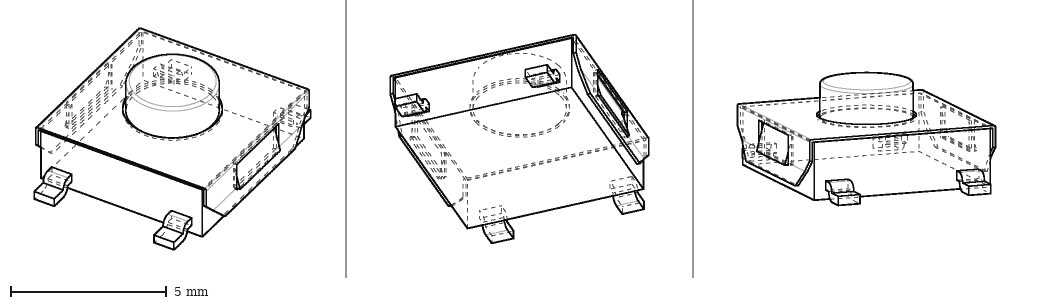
import cadquery as cq
import math

overall_length = 8.4
overall_width = 6.61
overall_height = 3.1

body_width = 6.08
body_length = 6.25

cover_width = 6.43
cover_length = 6.32
cover_top = 2.0
plate_thickness = 0.09
skirt_thickness = 0.1
bend_radius = 0.07
cover_underside = cover_top - plate_thickness
cover_hole_diameter = 3.2

skirt_bend_z = 0.9
skirt_bottom_z = 0.31
skirt_corner_z = 1.29
skirt_bottom_length = 4.3
skirt_flare = (overall_width - cover_width) / 2

window_length = 2.59
window_bottom = 0.815
window_top = 1.81
wedge_side_gap = 0.06
wedge_length = window_length - 2 * wedge_side_gap

button_diameter = 3.0
button_edge_radius = 0.1

lead_width = 0.76
lead_spacing = 4.51
lead_thickness = 0.3
upper_arc_y = 3.34
lower_arc_y = 3.67


def make_body():
    return cq.Workplane("XY").box(body_width, body_length, cover_underside, centered=(True, True, False))


def make_wedge():
    """Snap wedge on the +X face, widening downward to a flat underside."""
    root_x = body_width / 2
    return (
        cq.Workplane("XZ")
        .moveTo(root_x, window_top)
        .lineTo(root_x, window_bottom)
        .lineTo(overall_width / 2, window_bottom)
        .close()
        .extrude(wedge_length / 2, both=True)
    )


def make_skirt():
    """Skirt on the +X side with a flared lower edge, cut corners and a window."""
    outer_x = cover_width / 2
    inner_x = outer_x - skirt_thickness
    skirt = (
        cq.Workplane("XZ")
        .moveTo(inner_x, cover_underside)
        .lineTo(outer_x, cover_underside)
        .lineTo(outer_x, skirt_bend_z)
        .lineTo(outer_x + skirt_flare, skirt_bottom_z)
        .lineTo(inner_x + skirt_flare, skirt_bottom_z)
        .lineTo(inner_x, skirt_bend_z)
        .close()
        .extrude(cover_length / 2, both=True)
    )
    outline = (
        cq.Workplane("YZ")
        .moveTo(-cover_length / 2, cover_top)
        .lineTo(cover_length / 2, cover_top)
        .lineTo(cover_length / 2, skirt_corner_z)
        .lineTo(skirt_bottom_length / 2, skirt_bottom_z)
        .lineTo(-skirt_bottom_length / 2, skirt_bottom_z)
        .lineTo(-cover_length / 2, skirt_corner_z)
        .close()
        .extrude(overall_width)
    )
    window = (
        cq.Workplane("XY", origin=(0, 0, window_bottom))
        .box(overall_width, window_length, window_top - window_bottom, centered=(False, True, False))
    )
    return skirt.intersect(outline).cut(window)


def make_cover_plate():
    """Top plate with rounded bends along both sides and a clearance hole for the button."""
    return (
        cq.Workplane("XY", origin=(0, 0, cover_underside))
        .box(cover_width, cover_length, plate_thickness, centered=(True, True, False))
        .edges("|Y and >Z")
        .fillet(bend_radius)
        .faces(">Z")
        .workplane()
        .hole(cover_hole_diameter)
    )


def make_button():
    return (
        cq.Workplane("XY", origin=(0, 0, cover_underside))
        .circle(button_diameter / 2)
        .extrude(overall_height - cover_underside)
        .faces(">Z")
        .edges()
        .fillet(button_edge_radius)
    )


def make_lead():
    """Stepped lead on the +Y side; both bends are quarter arcs as tall as the lead is thick."""
    root_y = body_length / 2
    tip_y = overall_length / 2
    arc_offset = lead_thickness * math.sqrt(0.5)
    return (
        cq.Workplane("YZ")
        .moveTo(root_y, lead_thickness)
        .lineTo(root_y, 2 * lead_thickness)
        .lineTo(upper_arc_y, 2 * lead_thickness)
        .threePointArc(
            (upper_arc_y + arc_offset, lead_thickness + arc_offset),
            (upper_arc_y + lead_thickness, lead_thickness),
        )
        .lineTo(tip_y, lead_thickness)
        .lineTo(tip_y, 0)
        .lineTo(lower_arc_y, 0)
        .threePointArc(
            (lower_arc_y - arc_offset, lead_thickness - arc_offset),
            (lower_arc_y - lead_thickness, lead_thickness),
        )
        .close()
        .extrude(lead_width / 2, both=True)
    )


result = make_body().union(make_cover_plate()).union(make_button())

for side_feature in (make_wedge(), make_skirt()):
    result = result.union(side_feature).union(side_feature.mirror("YZ"))

for lead_x in (-lead_spacing / 2, lead_spacing / 2):
    lead = make_lead().translate((lead_x, 0, 0))
    result = result.union(lead).union(lead.mirror("XZ"))